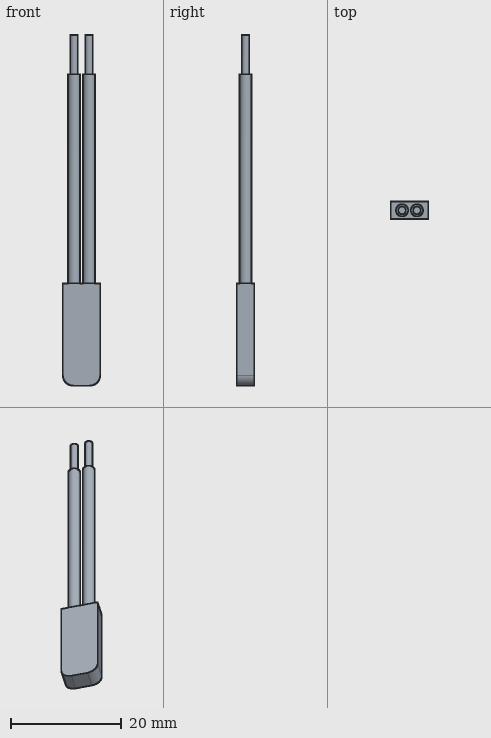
import cadquery as cq

TOTAL_LENGTH = 63.39
BODY_WIDTH = 6.79
BODY_DEPTH = 3.22
BODY_LENGTH = 18.5
BODY_CORNER_RADIUS = 1.9
LEAD_SPACING = 2.7
INSULATION_DIAMETER = 2.2
CONDUCTOR_DIAMETER = 1.4
CONDUCTOR_EXPOSED_LENGTH = 7.1

INSULATION_LENGTH = TOTAL_LENGTH - BODY_LENGTH - CONDUCTOR_EXPOSED_LENGTH


def make_body():
    """Flat block standing on Z = 0 with its two lower side corners rounded."""
    block = cq.Workplane("XY").box(
        BODY_WIDTH, BODY_DEPTH, BODY_LENGTH, centered=(True, True, False)
    )
    return block.faces("<Z").edges("|Y").fillet(BODY_CORNER_RADIUS)


def make_lead(x_position):
    """Insulated wire rising from the top of the body, with a bare conductor end."""
    insulation = (
        cq.Workplane("XY", origin=(x_position, 0, BODY_LENGTH))
        .circle(INSULATION_DIAMETER / 2)
        .extrude(INSULATION_LENGTH)
    )
    return (
        insulation.faces(">Z")
        .workplane()
        .circle(CONDUCTOR_DIAMETER / 2)
        .extrude(CONDUCTOR_EXPOSED_LENGTH)
    )


result = make_body()
for side in (-1, 1):
    result = result.union(make_lead(side * LEAD_SPACING / 2))